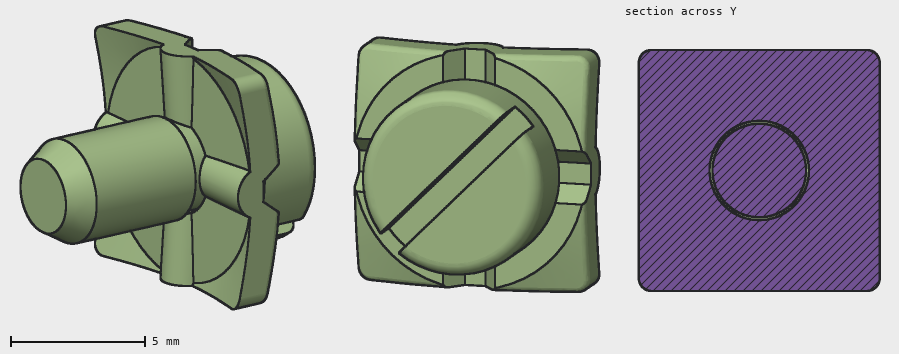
import cadquery as cq
import math


overall_length = 10.3

head_diameter = 7.0
head_height = 2.6
head_rounding = 0.5
slot_width = 1.0
slot_depth = 1.5
slot_angle = 45.0

neck_diameter = 3.5
shank_diameter = 4.0
shank_start = 2.09
tip_length = 1.0
tip_diameter = 2.84
shank_end = overall_length - head_height

washer_side = 9.0
washer_thickness = 1.39
washer_hole_diameter = 3.7
bend_radius = 4.49
bend_angle = 19.0
corner_radius = 0.5
edge_rounding = 0.25

rib_radius = 1.0
rib_crest_inner = 1.8
rib_crest_outer = 2.0

groove_mouth_width = 2.02
groove_floor_width = 0.8
groove_depth = 0.8

half_side = washer_side / 2
hole_radius = washer_hole_diameter / 2


def turned(points):
    """Revolve a closed (radius, y) outline about the screw axis."""
    return cq.Workplane("XY").polyline(points).close().revolve(360, (0, 0, 0), (0, 1, 0))


def cylinder(diameter, y_start, y_end):
    disc = cq.Workplane("XZ", origin=(0, y_start, 0)).circle(diameter / 2)
    return disc.extrude(y_start - y_end)


def make_head():
    head = cylinder(head_diameter, 0, head_height).faces(">Y").edges().fillet(head_rounding)
    slot = (
        cq.Workplane("XY")
        .box(2 * head_diameter, slot_depth, slot_width)
        .translate((0, head_height - slot_depth / 2, 0))
        .rotate((0, 0, 0), (0, 1, 0), slot_angle)
    )
    return head.cut(slot)


def make_shank():
    return turned([
        (0, 0),
        (neck_diameter / 2, 0),
        (neck_diameter / 2, -shank_start),
        (shank_diameter / 2, -shank_start),
        (shank_diameter / 2, -shank_end + tip_length),
        (tip_diameter / 2, -shank_end),
        (0, -shank_end),
    ])


def make_bent_sheet():
    """Square sheet, flat in the middle and conical outside the bend circle."""
    slope = math.tan(math.radians(bend_angle))
    rim_radius = washer_side
    rim_drop = slope * (rim_radius - bend_radius)
    disc = turned([
        (0, 0),
        (bend_radius, 0),
        (rim_radius, -rim_drop),
        (rim_radius, -washer_thickness - rim_drop),
        (bend_radius, -washer_thickness),
        (0, -washer_thickness),
    ])
    square = cq.Workplane("XY").box(washer_side, washer_side, washer_side)
    square = square.edges("|Y").fillet(corner_radius)
    sheet = disc.intersect(square)
    back_zone = cq.selectors.BoxSelector(
        (-washer_side, -washer_thickness / 2, -washer_side), (washer_side, 0.1, washer_side)
    )
    back_rim = sheet.edges(back_zone).edges("not %CIRCLE")
    return back_rim.fillet(edge_rounding)


def make_rib():
    """Round rib along +X, tilted so that its crest rises towards the washer's side."""
    rise_angle = math.degrees(math.atan2(rib_crest_outer - rib_crest_inner, half_side - hole_radius))
    rib = (
        cq.Workplane("YZ")
        .center(rib_radius - rib_crest_outer, 0)
        .circle(rib_radius)
        .extrude(washer_side, both=True)
        .rotate((half_side, -rib_crest_outer, 0), (half_side, -rib_crest_outer, 1), -rise_angle)
    )
    trim = cq.Workplane("XY").box(half_side, rib_crest_outer, washer_side)
    trim = trim.translate((half_side / 2, -rib_crest_outer / 2, 0))
    return rib.intersect(trim)


def make_groove():
    """Trapezoidal groove along +X, open at the back face."""
    return (
        cq.Workplane("YZ")
        .polyline([
            (0, -groove_mouth_width / 2),
            (-groove_depth, -groove_floor_width / 2),
            (-groove_depth, groove_floor_width / 2),
            (0, groove_mouth_width / 2),
        ])
        .close()
        .extrude(washer_side)
    )


def make_washer():
    washer = make_bent_sheet()
    rib = make_rib()
    groove = make_groove()
    quarter_turns = [0, 90, 180, 270]
    for angle in quarter_turns:
        washer = washer.union(rib.rotate((0, 0, 0), (0, 1, 0), angle))
    for angle in quarter_turns:
        washer = washer.cut(groove.rotate((0, 0, 0), (0, 1, 0), angle))
    return washer.cut(cylinder(washer_hole_diameter, -washer_side, 0))


result = make_head().union(make_washer()).union(make_shank())